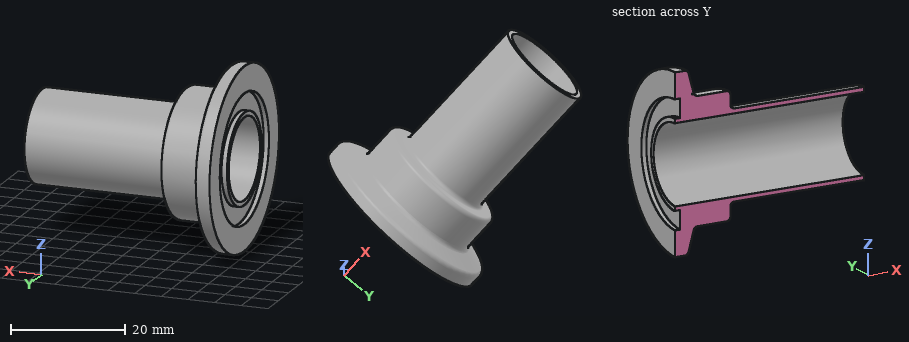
import cadquery as cq
import math

total_length = 38.0

flange_diameter = 34.0
flange_rim_width = 2.65
cone_angle = 15.0

hub_diameter = 24.0
hub_end = 11.2

tube_diameter = 17.2
tube_bore = 15.2

recess_diameter = 24.0
recess_depth = 1.0
lip_diameter = 17.0

rim_radius = 0.8
cone_root_radius = 0.8
hub_edge_radius = 0.8
tube_root_radius = 0.8

flange_radius = flange_diameter / 2
hub_radius = hub_diameter / 2
tube_radius = tube_diameter / 2
cone_width = (flange_radius - hub_radius) * math.tan(math.radians(cone_angle))
cone_end = flange_rim_width + cone_width


def disc(diameter, length):
    """Solid cylinder along +X, beginning at the sealing face."""
    return cq.Workplane("YZ").circle(diameter / 2).extrude(length)


def fillet_ring(body, x, radius, fillet_radius):
    """Round the circular edge of the given radius lying at X = x."""
    margin = 0.01
    reach = radius + margin
    ring = cq.selectors.BoxSelector(
        (x - margin, -reach, -reach), (x + margin, reach, reach), boundingbox=True
    )
    on_ring = [edge for edge in body.edges(ring).vals() if abs(edge.radius() - radius) < margin]
    return body.newObject(on_ring).fillet(fillet_radius)


def make_outer_body():
    """Turned outside shape: rim, cone, hub and tube, with rounded corners."""
    body = (
        cq.Workplane("XZ")
        .moveTo(0, 0)
        .lineTo(0, flange_radius)
        .lineTo(flange_rim_width, flange_radius)
        .lineTo(cone_end, hub_radius)
        .lineTo(hub_end, hub_radius)
        .lineTo(hub_end, tube_radius)
        .lineTo(total_length, tube_radius)
        .lineTo(total_length, 0)
        .close()
        .revolve(360, (0, 0, 0), (1, 0, 0))
    )
    body = fillet_ring(body, flange_rim_width, flange_radius, rim_radius)
    body = fillet_ring(body, cone_end, hub_radius, cone_root_radius)
    body = fillet_ring(body, hub_end, hub_radius, hub_edge_radius)
    return fillet_ring(body, hub_end, tube_radius, tube_root_radius)


def make_face_recess():
    """Ring-shaped cut in the sealing face that leaves a flush lip around the bore."""
    return disc(recess_diameter, recess_depth).cut(disc(lip_diameter, recess_depth))


result = make_outer_body().cut(make_face_recess()).cut(disc(tube_bore, total_length))